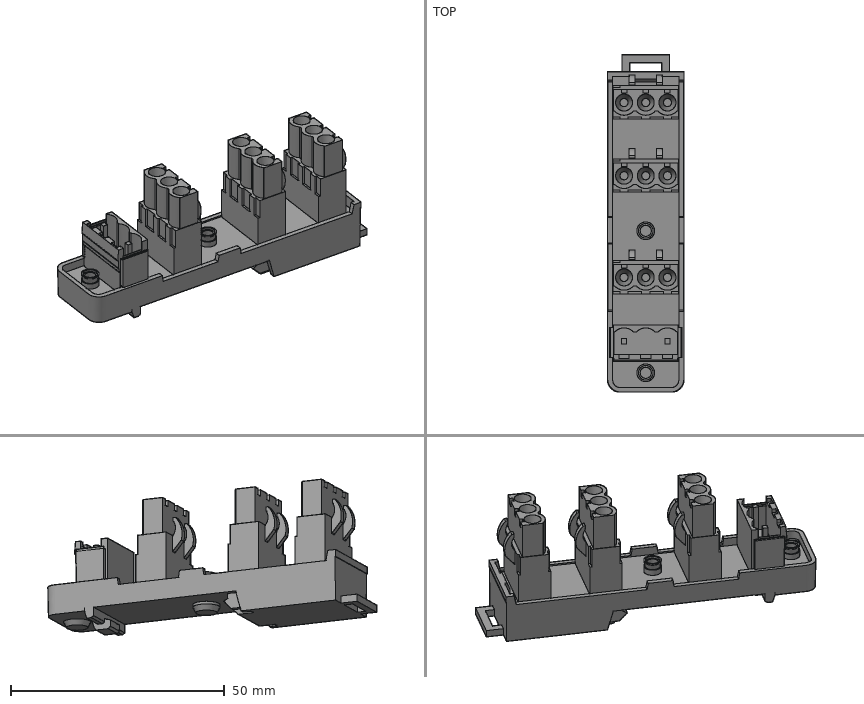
import cadquery as cq
import math

WIDTH = 17.97
TOTAL_LENGTH = 79.07
TOTAL_HEIGHT = 30.0
HALF_WIDTH = WIDTH / 2

BODY_LENGTH = 74.95
CORNER_RADIUS = 2.95
DRAFT_ANGLE = 1.2
WALL = 1.25
FRONT_WALL = 1.1
FLOOR_Z = 9.4
UNDERSIDE_Z = 4.95
FRONT_UNDERSIDE_Z = 4.3
FRONT_PAD_LENGTH = 10.4
LOW_WALL_Z = 9.76
HIGH_WALL_Z = 11.43
BACK_WALL_Z = 12.15
BACK_WALL_INNER_Y = 73.9
BACK_LIP = 0.15
BACK_LIP_Z = 10.5
WALL_STEP_RUN = 0.3
FRONT_WALL_END_Y = 18.9
MIDDLE_WALL_RANGE = (34.95, 40.9)
BACK_WALL_STEP_Y = (72.6, 73.1)

BACK_CATCH_HALF_WIDTH = 2.5
BACK_CATCH_Y = (72.7, 73.4)
BACK_CATCH_SHOULDER_Z = 10.5

FOOT_FRONT_BOTTOM_Y = 50.65
FOOT_FRONT_TOP_Y = 49.3
FOOT_MOUTH_DEPTH = 2.0
BEAK_HALF_WIDTH = 7.35
TAB_HALF_WIDTH = 5.6
SLIDER_STEP_Z = 1.25
STEM_HALF_WIDTH = 6.05
SLIDER_FRONT_BOTTOM_Y = 48.7
BEAK_TIP_Y = 45.55
BEAK_TIP_Z = 3.2
BEAK_LEDGE_Z = 3.75
BEAK_BACK_Y = 46.6
TAB_THICKNESS = 1.73
TAB_BAR = 1.95
TAB_OPENING_HALF_WIDTH = 3.7

PITCH = 5.08
POLES = (-PITCH, 0.0, PITCH)
PLUG_REAR_FACES = (71.8, 54.66, 30.85)
PLUG_DEPTH = 7.8
PLUG_HALF_WIDTH = len(POLES) * PITCH / 2
PLUG_SHOULDER_Z = 21.5
TOWER_HALF_WIDTH = 7.5
TOWER_REAR_SETBACK = 0.95
TOWER_DEPTH = 6.0
SCALLOP_HEIGHT = 0.95
SCALLOP_HALF_WIDTH = 2.18
POLE_SETBACK = 3.97
FUNNEL_RADIUS = 1.98
FUNNEL_BOTTOM_RADIUS = 0.95
FUNNEL_DEPTH = 6.0
KEY_WIDTH = 1.3
KEY_LENGTH = 0.8
KEY_DEPTH = 1.5
WINDOW_WIDTH = 3.2
WINDOW_DEPTH = 0.5
WINDOW_BOTTOM_Z = 16.85
LEVER_X = 3.2
LEVER_WIDTH = 1.4
LEVER_ROOT_Z = (17.6, 21.4)
LEVER_HEEL = (2.25, 20.2)
LEVER_BACK_MID = (1.95, 24.1)
LEVER_TOP_Z = 25.85
LEVER_TOP_Y = (0.18, 0.75)
LEVER_TIP_Z = 25.0
LEVER_THROAT = (0.75, 23.3)

HEADER_REAR_Y = 15.75
HEADER_FRONT_Y = 7.9
HEADER_HALF_WIDTH = 7.5
HEADER_TOP_Z = 21.7
HEADER_SIDE_Z = 19.55
HEADER_CAVITY_FLOOR_Z = 13.0
HEADER_CAVITY_FRONT_Y = 8.85
HEADER_CAVITY_REAR_Y = 14.1
HEADER_SIDE_WALL = 0.1
FRONT_FACING_Y = 7.5
FRONT_FACING_Z = 15.5
FACING_STEP = 0.12
FACING_STEP_Z = 16.5
RIDGE_Z = 18.7
RIDGE_Y = 7.25
EAR_HALF_WIDTH = 8.47
EAR_BOTTOM_Z = 11.6
EAR_Y = (8.1, 15.2)
EAR_LIP_INNER_X = 8.2
EAR_SHOULDER_Z = 19.1
PIN_SIZE = 1.2
PIN_Y = 11.95
PIN_TOP_Z = 20.8
NOTCH_WIDTH = 2.4
NOTCH_DEPTH = 1.0
NOTCH_FRONT_Y = 7.9

SCREW_POSITIONS = ((37.8, UNDERSIDE_Z), (4.55, FRONT_UNDERSIDE_Z))
SCREW_TOP_Z = 12.4
SCREW_RIM_RADIUS = 2.07
SCREW_COLLAR_Z = 10.8
SCREW_RECESS_RADIUS = 1.7
SCREW_RECESS_DEPTH = 0.5
SCREW_NECK_RADIUS = 1.8
SCREW_BORE_RADIUS = 1.3
SCREW_BORE_DEPTH = 2.5
SCREW_FOOT_Z = 3.0
SCREW_FOOT_RADIUS = 3.2
SCREW_TIP_RADIUS = 2.5
HOOK_HALF_WIDTH = 2.55
HOOK_FRONT_Y = 9.2
HOOK_BACK_Y = 12.8
HOOK_BOTTOM_Z = 1.15
HOOK_BOTTOM_Y = (10.5, 13.7)
HOOK_FRONT_BEVEL = (10.1, 1.75)
HOOK_TIP_Y = 14.25
HOOK_TIP_Z = (1.7, 3.2)
HOOK_THROAT_Z = 3.7
RIB_BOTTOM_Z = 2.5
RIB_BOTTOM_Y = (11.0, 12.2)
RIB_BACK_BEVEL_Z = 2.9

OVERLAP = 0.5


def box(x_range, y_range, z_range):
    """Axis-aligned block between the given limits."""
    x0, x1 = x_range
    y0, y1 = y_range
    z0, z1 = z_range
    return cq.Workplane("XY").box(x1 - x0, y1 - y0, z1 - z0, centered=False).translate((x0, y0, z0))


def centred_box(half_width, y_range, z_range):
    """Block symmetric about the YZ plane."""
    return box((-half_width, half_width), y_range, z_range)


def side_prism(points, half_width):
    """Closed (y, z) outline extruded symmetrically along X."""
    return cq.Workplane("YZ").polyline(points).close().extrude(half_width, both=True)


def scalloped_outline(half_width, valley_y, far_y, bulge):
    """XY outline, straight at far_y, with one arc per pole bulging out from valley_y."""
    outline = cq.Workplane("XY").moveTo(-half_width, far_y).lineTo(-half_width, valley_y)
    for pole in POLES:
        outline = outline.lineTo(pole - SCALLOP_HALF_WIDTH, valley_y)
        outline = outline.threePointArc((pole, valley_y + bulge), (pole + SCALLOP_HALF_WIDTH, valley_y))
    return outline.lineTo(half_width, valley_y).lineTo(half_width, far_y).close()


def draft_inset(height):
    """Distance by which a drafted wall moves inwards over the given height."""
    return height * math.tan(math.radians(DRAFT_ANGLE))


def make_tray_envelope():
    """Drafted block with a rounded front end that bounds the tray, running past its back."""
    front_y = -draft_inset(BACK_WALL_Z - HIGH_WALL_Z)
    back_y = BODY_LENGTH + CORNER_RADIUS
    outline = cq.Sketch().rect(WIDTH, back_y - front_y).vertices("<Y").fillet(CORNER_RADIUS)
    envelope = cq.Workplane("XY").placeSketch(outline).extrude(-BACK_WALL_Z, taper=DRAFT_ANGLE)
    return envelope.translate((0, (front_y + back_y) / 2, BACK_WALL_Z))


def make_tray():
    """Drafted tray with stepped side walls, a rail foot at the back and a pocket on top."""
    middle_front, middle_back = MIDDLE_WALL_RANGE
    step_front, step_back = BACK_WALL_STEP_Y
    tray = side_prism(
        [
            (0, FRONT_UNDERSIDE_Z),
            (FRONT_PAD_LENGTH, FRONT_UNDERSIDE_Z),
            (FRONT_PAD_LENGTH, UNDERSIDE_Z),
            (FOOT_FRONT_TOP_Y, UNDERSIDE_Z),
            (FOOT_FRONT_BOTTOM_Y, 0),
            (BODY_LENGTH, 0),
            (BODY_LENGTH, BACK_LIP_Z),
            (BODY_LENGTH + BACK_LIP, BACK_LIP_Z),
            (BODY_LENGTH + BACK_LIP, BACK_WALL_Z),
            (step_back, BACK_WALL_Z),
            (step_front, LOW_WALL_Z),
            (middle_back + WALL_STEP_RUN, LOW_WALL_Z),
            (middle_back, HIGH_WALL_Z),
            (middle_front, HIGH_WALL_Z),
            (middle_front - WALL_STEP_RUN, LOW_WALL_Z),
            (FRONT_WALL_END_Y + WALL_STEP_RUN, LOW_WALL_Z),
            (FRONT_WALL_END_Y, HIGH_WALL_Z),
            (0, HIGH_WALL_Z),
        ],
        HALF_WIDTH,
    )
    tray = tray.intersect(make_tray_envelope())
    pocket = centred_box(HALF_WIDTH - WALL, (FRONT_WALL, BACK_WALL_INNER_Y), (FLOOR_Z, TOTAL_HEIGHT))
    pocket = pocket.edges("|Z and <Y").fillet(CORNER_RADIUS - WALL)
    return tray.cut(pocket)


def make_back_catch():
    """Catch with a steep front face at the middle of the back wall."""
    catch_front, catch_top = BACK_CATCH_Y
    return side_prism(
        [
            (BACK_WALL_INNER_Y + OVERLAP, FLOOR_Z),
            (catch_front, FLOOR_Z),
            (catch_front, BACK_CATCH_SHOULDER_Z),
            (catch_top, BACK_WALL_Z),
            (BACK_WALL_INNER_Y + OVERLAP, BACK_WALL_Z),
        ],
        BACK_CATCH_HALF_WIDTH,
    )


def cut_foot_mouth(tray):
    """Open the mouth of the foot for the slider."""
    mouth_y = (FOOT_FRONT_TOP_Y, FOOT_FRONT_BOTTOM_Y + FOOT_MOUTH_DEPTH)
    mouth = centred_box(BEAK_HALF_WIDTH, mouth_y, (0, UNDERSIDE_Z))
    return tray.cut(mouth)


def make_slider():
    """Slider in the foot: narrow stem, wide catch beak in front and a pull loop behind."""
    slope = (SLIDER_FRONT_BOTTOM_Y - BEAK_TIP_Y) / BEAK_TIP_Z
    beak_rear_y = FOOT_FRONT_BOTTOM_Y + FOOT_MOUTH_DEPTH
    stem_top_y = SLIDER_FRONT_BOTTOM_Y - slope * SLIDER_STEP_Z
    stem = side_prism(
        [
            (SLIDER_FRONT_BOTTOM_Y, 0),
            (stem_top_y, SLIDER_STEP_Z),
            (BODY_LENGTH, SLIDER_STEP_Z),
            (BODY_LENGTH, 0),
        ],
        STEM_HALF_WIDTH,
    )
    beak = side_prism(
        [
            (stem_top_y, SLIDER_STEP_Z),
            (BEAK_TIP_Y, BEAK_TIP_Z),
            (BEAK_BACK_Y, BEAK_LEDGE_Z),
            (BEAK_BACK_Y, UNDERSIDE_Z),
            (beak_rear_y, UNDERSIDE_Z),
            (beak_rear_y, SLIDER_STEP_Z),
        ],
        BEAK_HALF_WIDTH,
    )
    tab = centred_box(TAB_HALF_WIDTH, (BODY_LENGTH, TOTAL_LENGTH), (0, TAB_THICKNESS))
    opening = centred_box(
        TAB_OPENING_HALF_WIDTH, (BODY_LENGTH, TOTAL_LENGTH - TAB_BAR), (0, TAB_THICKNESS)
    )
    return stem.union(beak).union(tab.cut(opening))


def make_lever(rear_y, x):
    """Curved release lever rising from the rear face of a plug."""
    root_bottom, root_top = LEVER_ROOT_Z
    tip_front, tip_back = LEVER_TOP_Y
    return (
        cq.Workplane("YZ", origin=(x - LEVER_WIDTH / 2, rear_y, 0))
        .moveTo(-OVERLAP, root_bottom)
        .lineTo(0, root_bottom)
        .lineTo(*LEVER_HEEL)
        .threePointArc(LEVER_BACK_MID, (tip_back, LEVER_TOP_Z))
        .lineTo(tip_front, LEVER_TOP_Z)
        .lineTo(tip_front, LEVER_TIP_Z)
        .threePointArc(LEVER_THROAT, (0, root_top))
        .lineTo(-OVERLAP, root_top)
        .close()
        .extrude(LEVER_WIDTH)
    )


def make_plug(rear_y):
    """Three-pole plug: base, scalloped tower, wire funnels, windows and levers."""
    front_y = rear_y - PLUG_DEPTH
    tower_rear_y = rear_y - TOWER_REAR_SETBACK
    tower_valley_y = tower_rear_y - TOWER_DEPTH + SCALLOP_HEIGHT
    pole_y = rear_y - POLE_SETBACK
    plug = centred_box(PLUG_HALF_WIDTH, (front_y, rear_y), (FLOOR_Z, PLUG_SHOULDER_Z))

    window_z = (WINDOW_BOTTOM_Z, PLUG_SHOULDER_Z)
    for index in range(len(POLES) + 1):
        x = index * PITCH - PLUG_HALF_WIDTH
        window_x = (x - WINDOW_WIDTH / 2, x + WINDOW_WIDTH / 2)
        plug = plug.cut(box(window_x, (front_y, front_y + WINDOW_DEPTH), window_z))
    rear_window_x = (-PLUG_HALF_WIDTH, -PLUG_HALF_WIDTH + WINDOW_WIDTH / 2)
    plug = plug.cut(box(rear_window_x, (rear_y - WINDOW_DEPTH, rear_y), window_z))

    tower = scalloped_outline(TOWER_HALF_WIDTH, tower_valley_y, tower_rear_y, -SCALLOP_HEIGHT)
    tower = tower.extrude(TOTAL_HEIGHT - PLUG_SHOULDER_Z + OVERLAP)
    plug = plug.union(tower.translate((0, 0, PLUG_SHOULDER_Z - OVERLAP)))

    for pole in POLES:
        funnel = cq.Solid.makeCone(
            FUNNEL_RADIUS,
            FUNNEL_BOTTOM_RADIUS,
            FUNNEL_DEPTH,
            pnt=cq.Vector(pole, pole_y, TOTAL_HEIGHT),
            dir=cq.Vector(0, 0, -1),
        )
        key_x = (pole - KEY_WIDTH / 2, pole + KEY_WIDTH / 2)
        key_y = (tower_rear_y - KEY_LENGTH, tower_rear_y)
        key = box(key_x, key_y, (TOTAL_HEIGHT - KEY_DEPTH, TOTAL_HEIGHT))
        plug = plug.cut(cq.Workplane(funnel)).cut(key)

    for x in (-LEVER_X, LEVER_X):
        plug = plug.union(make_lever(rear_y, x))
    return plug


def make_header():
    """Open-topped pin header with a scalloped rear wall, side ears and two pins."""
    header = centred_box(HEADER_HALF_WIDTH, (HEADER_FRONT_Y, HEADER_REAR_Y), (FLOOR_Z, HEADER_TOP_Z))
    facing = centred_box(
        HEADER_HALF_WIDTH, (FRONT_FACING_Y, HEADER_FRONT_Y), (FACING_STEP_Z, HEADER_TOP_Z)
    )
    lower_facing = centred_box(
        HEADER_HALF_WIDTH,
        (FRONT_FACING_Y + FACING_STEP, HEADER_FRONT_Y),
        (FRONT_FACING_Z, FACING_STEP_Z),
    )
    ridge = side_prism(
        [
            (RIDGE_Y, RIDGE_Z),
            (FRONT_FACING_Y, HEADER_TOP_Z),
            (HEADER_FRONT_Y, HEADER_TOP_Z),
            (HEADER_FRONT_Y, RIDGE_Z),
        ],
        HEADER_HALF_WIDTH,
    )
    ears = centred_box(EAR_HALF_WIDTH, EAR_Y, (EAR_BOTTOM_Z, HEADER_SIDE_Z))
    ears = ears.cut(centred_box(EAR_LIP_INNER_X, EAR_Y, (EAR_SHOULDER_Z, HEADER_SIDE_Z)))
    header = header.union(facing).union(lower_facing).union(ridge).union(ears)

    cavity = scalloped_outline(
        HEADER_HALF_WIDTH - HEADER_SIDE_WALL,
        HEADER_CAVITY_REAR_Y,
        HEADER_CAVITY_FRONT_Y,
        SCALLOP_HEIGHT,
    )
    cavity = cavity.extrude(HEADER_TOP_Z - HEADER_CAVITY_FLOOR_Z)
    header = header.cut(cavity.translate((0, 0, HEADER_CAVITY_FLOOR_Z)))
    side_gap = centred_box(
        WIDTH, (HEADER_CAVITY_FRONT_Y, HEADER_CAVITY_REAR_Y), (HEADER_SIDE_Z, HEADER_TOP_Z)
    )
    header = header.cut(side_gap)

    for pole in POLES:
        notch_x = (pole - NOTCH_WIDTH / 2, pole + NOTCH_WIDTH / 2)
        notch_y = (NOTCH_FRONT_Y, HEADER_CAVITY_FRONT_Y)
        header = header.cut(box(notch_x, notch_y, (HEADER_TOP_Z - NOTCH_DEPTH, HEADER_TOP_Z)))

    for x in (-PITCH, PITCH):
        pin_x = (x - PIN_SIZE / 2, x + PIN_SIZE / 2)
        pin_y = (PIN_Y - PIN_SIZE / 2, PIN_Y + PIN_SIZE / 2)
        header = header.union(box(pin_x, pin_y, (HEADER_CAVITY_FLOOR_Z - OVERLAP, PIN_TOP_Z)))
    return header


def make_screw(y, underside_z):
    """Screw with a rimmed hollow head above the floor and a tapered foot below the tray."""
    profile = [
        (0, SCREW_FOOT_Z),
        (SCREW_TIP_RADIUS, SCREW_FOOT_Z),
        (SCREW_FOOT_RADIUS, FRONT_UNDERSIDE_Z),
        (SCREW_FOOT_RADIUS, underside_z + OVERLAP),
        (SCREW_RIM_RADIUS, underside_z + OVERLAP),
        (SCREW_RIM_RADIUS, SCREW_COLLAR_Z),
        (SCREW_NECK_RADIUS, SCREW_COLLAR_Z),
        (SCREW_RIM_RADIUS, SCREW_TOP_Z),
        (SCREW_RECESS_RADIUS, SCREW_TOP_Z),
        (SCREW_RECESS_RADIUS, SCREW_TOP_Z - SCREW_RECESS_DEPTH),
        (SCREW_BORE_RADIUS, SCREW_TOP_Z - SCREW_RECESS_DEPTH),
        (SCREW_BORE_RADIUS, SCREW_TOP_Z - SCREW_BORE_DEPTH),
        (0, SCREW_TOP_Z - SCREW_BORE_DEPTH),
    ]
    screw = cq.Workplane("XZ").polyline(profile).close().revolve(360, (0, 0, 0), (0, 1, 0))
    return screw.translate((0, y, 0))


def make_front_hook():
    """Rail hook under the front of the tray, on a rib as wide as the tray."""
    bottom_front, bottom_back = HOOK_BOTTOM_Y
    tip_bottom, tip_top = HOOK_TIP_Z
    rib_bottom_front, rib_bottom_back = RIB_BOTTOM_Y
    root_z = UNDERSIDE_Z + OVERLAP
    hook = side_prism(
        [
            (HOOK_FRONT_Y, root_z),
            (HOOK_FRONT_Y, FRONT_UNDERSIDE_Z),
            HOOK_FRONT_BEVEL,
            (bottom_front, HOOK_BOTTOM_Z),
            (bottom_back, HOOK_BOTTOM_Z),
            (HOOK_TIP_Y, tip_bottom),
            (HOOK_TIP_Y, tip_top),
            (HOOK_BACK_Y, HOOK_THROAT_Z),
            (HOOK_BACK_Y, root_z),
        ],
        HOOK_HALF_WIDTH,
    )
    rib = side_prism(
        [
            (FRONT_PAD_LENGTH, root_z),
            (FRONT_PAD_LENGTH, FRONT_UNDERSIDE_Z),
            (rib_bottom_front, RIB_BOTTOM_Z),
            (rib_bottom_back, RIB_BOTTOM_Z),
            (HOOK_BACK_Y, RIB_BACK_BEVEL_Z),
            (HOOK_BACK_Y, root_z),
        ],
        HALF_WIDTH - draft_inset(BACK_WALL_Z - UNDERSIDE_Z),
    )
    return hook.union(rib)


result = cut_foot_mouth(make_tray()).union(make_back_catch()).union(make_slider())
for plug_rear_y in PLUG_REAR_FACES:
    result = result.union(make_plug(plug_rear_y))
result = result.union(make_header()).union(make_front_hook())
for screw_y, screw_underside_z in SCREW_POSITIONS:
    result = result.union(make_screw(screw_y, screw_underside_z))